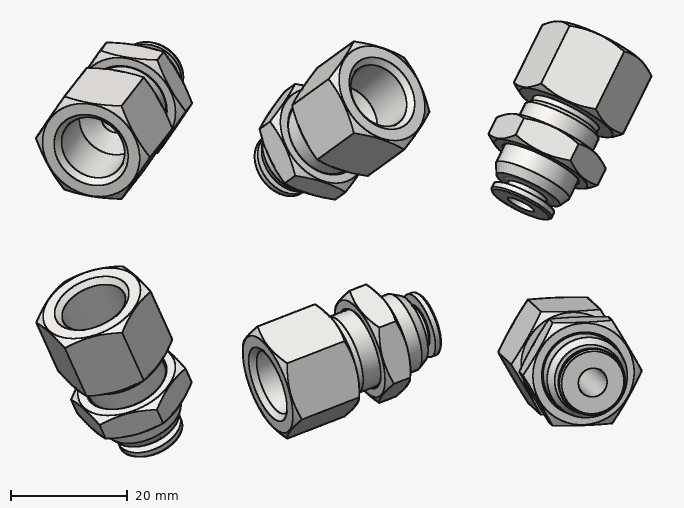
import cadquery as cq
import math

total_length = 30.9

hex_across_corners = 20.75
hex_face_diameter = 17.67
hex_chamfer_angle = 30.0
port_hex_length = 13.0
nut_start = 18.0
nut_length = 5.0
nut_mouth_diameter = 14.6
nut_mouth_angle = 45.0

relief_diameter = 12.48
relief_end = 14.0
body_diameter = 14.0
thread_chamfer = (body_diameter - relief_diameter) / 2
body_cone_start = 26.25
body_cone_end = 28.0
body_end_diameter = 12.08

collar_base_diameter = 9.55
collar_top_diameter = 7.8
collar_height = 0.25
neck_diameter = 7.3
flange_diameter = 11.5
flange_thickness = 1.3
flange_chamfer = 0.3
neck_flare = 0.15

port_diameter = 11.5
port_mouth_diameter = 13.47
port_mouth_angle = 45.0
port_depth = 10.0
drill_point_angle = 118.0
passage_diameter = 5.0


def revolve_profile(sections):
    """Revolve (diameter, y) sections about the Y axis, closed along the axis."""
    first_y = sections[0][1]
    last_y = sections[-1][1]
    outline = [(0, first_y)]
    outline += [(diameter / 2, y) for diameter, y in sections]
    outline.append((0, last_y))
    return cq.Workplane("XY").polyline(outline).close().revolve(360, (0, 0), (0, 1))


def chamfered_hexagon(start, length):
    """Hexagonal prism along Y with both ends turned to a cone at the corners."""
    end = start + length
    chamfer_depth = (hex_across_corners - hex_face_diameter) / 2 * math.tan(math.radians(hex_chamfer_angle))
    prism = cq.Workplane("XZ", origin=(0, start, 0)).polygon(6, hex_across_corners).extrude(-length)
    envelope = revolve_profile([
        (hex_face_diameter, start),
        (hex_across_corners, start + chamfer_depth),
        (hex_across_corners, end - chamfer_depth),
        (hex_face_diameter, end),
    ])
    return prism.intersect(envelope)


def bulkhead_nut():
    """Hexagon nut fitting the body, countersunk at both ends of its hole."""
    end = nut_start + nut_length
    mouth_depth = (nut_mouth_diameter - body_diameter) / 2 / math.tan(math.radians(nut_mouth_angle))
    hole = revolve_profile([
        (nut_mouth_diameter, nut_start),
        (body_diameter, nut_start + mouth_depth),
        (body_diameter, end - mouth_depth),
        (nut_mouth_diameter, end),
    ])
    return chamfered_hexagon(nut_start, nut_length).cut(hole)


def turned_body():
    """Thread relief, cylindrical body and its conical shoulder."""
    return revolve_profile([
        (relief_diameter, port_hex_length),
        (relief_diameter, relief_end),
        (body_diameter, relief_end + thread_chamfer),
        (body_diameter, body_cone_start),
        (body_end_diameter, body_cone_end),
    ])


def release_sleeve():
    """Tapered collar, narrow neck and push flange."""
    collar_top = body_cone_end + collar_height
    flange_start = total_length - flange_thickness
    return revolve_profile([
        (collar_base_diameter, body_cone_end),
        (collar_top_diameter, collar_top),
        (neck_diameter, collar_top),
        (neck_diameter, flange_start - neck_flare),
        (neck_diameter + 2 * neck_flare, flange_start),
        (flange_diameter, flange_start),
        (flange_diameter, total_length - flange_chamfer),
        (flange_diameter - 2 * flange_chamfer, total_length),
    ])


def bore():
    """Countersunk port with a drill-point bottom leading into the through passage."""
    mouth_depth = (port_mouth_diameter - port_diameter) / 2 / math.tan(math.radians(port_mouth_angle))
    point_depth = (port_diameter - passage_diameter) / 2 / math.tan(math.radians(drill_point_angle / 2))
    return revolve_profile([
        (port_mouth_diameter, 0),
        (port_diameter, mouth_depth),
        (port_diameter, port_depth),
        (passage_diameter, port_depth + point_depth),
        (passage_diameter, total_length),
    ])


port_hexagon = chamfered_hexagon(0, port_hex_length)
result = port_hexagon.union(turned_body()).union(bulkhead_nut()).union(release_sleeve()).cut(bore())